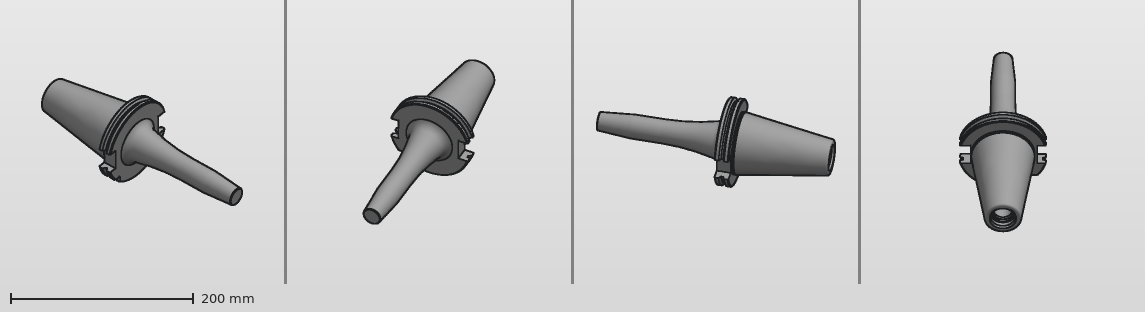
import cadquery as cq
import math


gauge_diameter = 69.85
taper_length = 101.6
taper_slope = 7 / 24 / 2
gauge_radius = gauge_diameter / 2
small_end_radius = gauge_radius - taper_length * taper_slope
small_end_fillet = 2.5
relief_depth = 0.7
relief_flank = 0.7
relief_width = 2.3

flange_start = 3.2
flange_end = 19.1
flange_width = flange_end - flange_start
flange_radius = 97.5 / 2
flange_chamfer = 1.0
groove_center = 11.1
groove_depth = 3.4
groove_floor_width = 2.2
groove_flank_angle = 30.0

slot_width = 25.7
minus_y_slot_floor = 37.7
plus_y_slot_floor = 35.5
notch_offset = 30.0
notch_corner_radius = 1.2

nose_length = 160.0
neck_root_radius = 28.2
neck_blend_end = 27.7
neck_blend_radius = 20.7
neck_end = 88.0
barrel_radius = 13.5
barrel_end = 121.4
nose_taper_angle = 4.5
nose_tip_chamfer = 0.8

counterbore_radius = 13.4
counterbore_depth = 8.4
mouth_radius = 14.6
mouth_chamfer_angle = 22.0
pilot_radius = 12.4
pilot_depth = 12.4
pilot_lead_in = 0.8
thread_chamfer_radius = 12.0
thread_chamfer_length = 1.3
bore_radius = 10.2
bore_depth = 60.0
drill_point_angle = 118.0


def revolve_about_axis(profile):
    return profile.close().revolve(360, (0, 0, 0), (1, 0, 0))


def make_shank():
    relief_radius = gauge_radius - relief_depth
    shank = revolve_about_axis(
        cq.Workplane("XY")
        .moveTo(-taper_length, 0)
        .lineTo(-taper_length, small_end_radius)
        .lineTo(0, gauge_radius)
        .lineTo(relief_flank, relief_radius)
        .lineTo(relief_width - relief_flank, relief_radius)
        .lineTo(relief_width, gauge_radius)
        .lineTo(flange_start, gauge_radius)
        .lineTo(flange_start, 0)
    )
    return shank.faces("<X").edges().fillet(small_end_fillet)


def make_flange():
    floor_radius = flange_radius - groove_depth
    floor_half = groove_floor_width / 2
    mouth_half = floor_half + groove_depth * math.tan(math.radians(groove_flank_angle))
    shoulder_radius = flange_radius - flange_chamfer
    return revolve_about_axis(
        cq.Workplane("XY")
        .moveTo(flange_start, 0)
        .lineTo(flange_start, shoulder_radius)
        .lineTo(flange_start + flange_chamfer, flange_radius)
        .lineTo(groove_center - mouth_half, flange_radius)
        .lineTo(groove_center - floor_half, floor_radius)
        .lineTo(groove_center + floor_half, floor_radius)
        .lineTo(groove_center + mouth_half, flange_radius)
        .lineTo(flange_end - flange_chamfer, flange_radius)
        .lineTo(flange_end, shoulder_radius)
        .lineTo(flange_end, 0)
    )


def make_nose():
    neck_run = neck_end - neck_blend_end
    neck_rise = neck_blend_radius - barrel_radius
    neck_arc = (neck_run**2 + neck_rise**2) / (2 * neck_rise)
    start_angle = math.asin(neck_run / neck_arc)
    neck_middle = (
        neck_end - neck_arc * math.sin(start_angle / 2),
        barrel_radius + neck_arc * (1 - math.cos(start_angle / 2)),
    )
    tip_radius = barrel_radius - (nose_length - barrel_end) * math.tan(math.radians(nose_taper_angle))
    return revolve_about_axis(
        cq.Workplane("XY")
        .moveTo(flange_end, 0)
        .lineTo(nose_length, 0)
        .lineTo(nose_length, tip_radius - nose_tip_chamfer)
        .lineTo(nose_length - nose_tip_chamfer, tip_radius)
        .lineTo(barrel_end, barrel_radius)
        .lineTo(neck_end, barrel_radius)
        .threePointArc(neck_middle, (neck_blend_end, neck_blend_radius))
        .tangentArcPoint((flange_end, neck_root_radius), relative=False)
    )


def make_drawbar_bore():
    mouth_length = (mouth_radius - counterbore_radius) / math.tan(math.radians(mouth_chamfer_angle))
    point_length = bore_radius / math.tan(math.radians(drill_point_angle / 2))
    bore = revolve_about_axis(
        cq.Workplane("XY")
        .lineTo(0, mouth_radius)
        .lineTo(mouth_length, counterbore_radius)
        .lineTo(counterbore_depth, counterbore_radius)
        .lineTo(counterbore_depth + pilot_lead_in, pilot_radius)
        .lineTo(pilot_depth, pilot_radius)
        .lineTo(pilot_depth, thread_chamfer_radius)
        .lineTo(pilot_depth + thread_chamfer_length, bore_radius)
        .lineTo(bore_depth, bore_radius)
        .lineTo(bore_depth + point_length, 0)
    )
    return bore.translate((-taper_length, 0, 0))


def make_drive_slot(floor_distance, side):
    return (
        cq.Workplane("XY")
        .box(flange_width, flange_radius, slot_width, centered=(False, True, True))
        .translate((flange_start, side * (floor_distance + flange_radius / 2), 0))
    )


def make_orientation_notch():
    return (
        cq.Workplane("XY")
        .box(flange_width, flange_radius, flange_radius, centered=(False, False, False))
        .edges("|X and >Y and >Z")
        .fillet(notch_corner_radius)
        .translate((flange_start, -notch_offset - flange_radius, -notch_offset - flange_radius))
    )


result = (
    make_flange()
    .cut(make_drive_slot(minus_y_slot_floor, -1))
    .cut(make_drive_slot(plus_y_slot_floor, 1))
    .cut(make_orientation_notch())
    .union(make_shank())
    .union(make_nose())
    .cut(make_drawbar_bore())
)